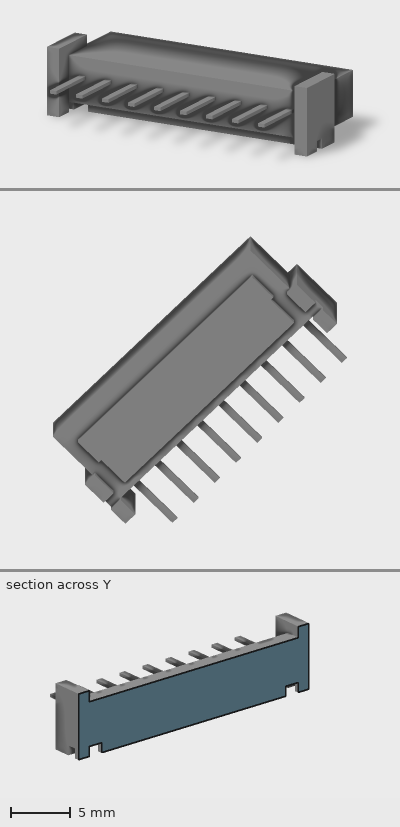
import cadquery as cq

total_width = 25.0
total_depth = 12.9
total_height = 6.0

housing_width = 23.3
housing_depth = 7.8
housing_bottom = 0.9
housing_top = 5.0

ear_thickness = 1.18
ear_back = -4.7
ear_front = -9.5
ear_notch_width = 0.9
ear_notch_front = -housing_depth
ear_notch_back = ear_notch_front + ear_notch_width

pin_count = 9
pin_pitch = 2.5
pin_width = 0.6
pin_thickness = 0.3
pin_center_height = 3.25
pin_span = (pin_count - 1) * pin_pitch + pin_width

rail_side_step = 0.3
rail_back = -1.6
rail_step = -4.1
rail_front = ear_notch_back
wide_rail_width = pin_span
narrow_rail_width = wide_rail_width - 2 * rail_side_step


def block(center_x, width, front, back, bottom, top):
    """Box centred at center_x in X, spanning front..back in Y and bottom..top in Z."""
    return (
        cq.Workplane("XY")
        .box(width, back - front, top - bottom, centered=(True, False, False))
        .translate((center_x, front, bottom))
    )


def make_housing():
    return block(0, housing_width, -housing_depth, 0, housing_bottom, housing_top)


def make_rail():
    wide_part = block(0, wide_rail_width, rail_step, rail_back, 0, housing_bottom)
    narrow_part = block(0, narrow_rail_width, rail_front, rail_step, 0, housing_bottom)
    return wide_part.union(narrow_part)


def make_ear(side):
    """End ear with a notch in its lower edge; side is -1 or 1."""
    center_x = side * (total_width - ear_thickness) / 2
    plate = block(center_x, ear_thickness, ear_front, ear_back, 0, total_height)
    notch = block(center_x, ear_thickness, ear_notch_front, ear_notch_back, 0, housing_bottom)
    return plate.cut(notch)


def make_pin(index):
    center_x = (index - (pin_count - 1) / 2) * pin_pitch
    bottom = pin_center_height - pin_thickness / 2
    return block(center_x, pin_width, -total_depth, -housing_depth, bottom, bottom + pin_thickness)


connector = make_housing().union(make_rail())
for side in (-1, 1):
    connector = connector.union(make_ear(side))
for index in range(pin_count):
    connector = connector.union(make_pin(index))

result = connector